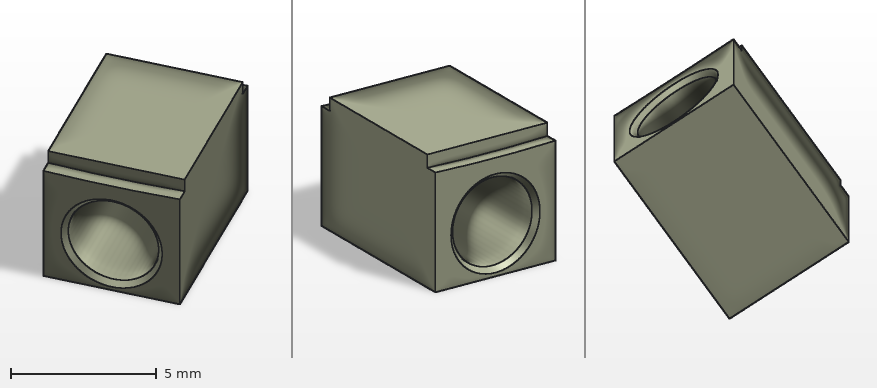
import cadquery as cq

width = 4.98
length = 7.0
height = 4.98

ledge_length = 0.5
ledge_depth = 0.5
ledge_sag = 0.05

bore_diameter = 3.3
bore_center_height = 1.99
mouth_chamfer = 0.195


def ledge_cutter(start_y):
    """Solid above one ledge: flat top, shallow downward arc below."""
    ledge_height = height - ledge_depth
    return (
        cq.Workplane("XZ", origin=(0, start_y, 0))
        .moveTo(-width / 2, height)
        .lineTo(-width / 2, ledge_height)
        .threePointArc((0, ledge_height - ledge_sag), (width / 2, ledge_height))
        .lineTo(width / 2, height)
        .close()
        .extrude(-ledge_length)
    )


def bore_cutter():
    """Bore along Y, revolved together with the cones at its two mouths."""
    radius = bore_diameter / 2
    mouth_radius = radius + mouth_chamfer
    end_y = length / 2
    return (
        cq.Workplane("XY", origin=(0, 0, bore_center_height))
        .polyline([
            (0, -end_y),
            (mouth_radius, -end_y),
            (radius, -end_y + mouth_chamfer),
            (radius, end_y - mouth_chamfer),
            (mouth_radius, end_y),
            (0, end_y),
        ])
        .close()
        .revolve(360, (0, 0, 0), (0, 1, 0))
    )


block = cq.Workplane("XY").box(width, length, height, centered=(True, True, False))
for ledge_start in (-length / 2, length / 2 - ledge_length):
    block = block.cut(ledge_cutter(ledge_start))

result = block.cut(bore_cutter())